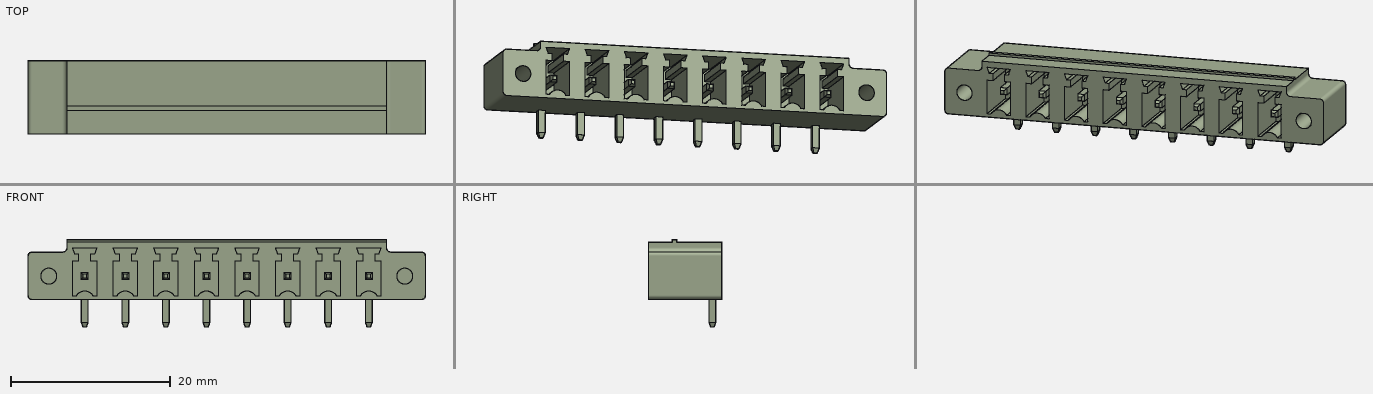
import cadquery as cq

POLE_COUNT = 8
PITCH = 5.08
POLE_XS = [(i - (POLE_COUNT - 1) / 2) * PITCH for i in range(POLE_COUNT)]

LENGTH = 49.76
DEPTH = 9.2
TOTAL_HEIGHT = 10.95
PIN_DROP = 3.45
FLANGE_HEIGHT = 5.95
CENTRE_LENGTH = 40.0
CORNER_RADIUS = 0.5
STEP_RADIUS = 0.54
FRONT_Y = -DEPTH / 2
BACK_Y = DEPTH / 2

RIB_HEIGHT = 0.3
RIB_WIDTH = 0.6
RIB_SETBACK = 2.95
CENTRE_HEIGHT = TOTAL_HEIGHT - PIN_DROP - RIB_HEIGHT

POCKET_DEPTH = 7.5
POCKET_WIDTH = 3.05
POCKET_FLOOR = 0.45
POCKET_SHOULDER = 4.8
NECK_WIDTH = 1.5
NECK_TOP = 5.7
HEAD_BOTTOM_WIDTH = 2.5
POCKET_TOP = 6.45
RIDGE_WIDTH = 2.1
RIDGE_HEIGHT = 0.62

PIN_SIZE = 0.88
PIN_TIP_SIZE = 0.45
PIN_TIP_LENGTH = 0.6
CONTACT_HEIGHT = 2.95
CONTACT_SETBACK = 1.5
TAIL_Y = BACK_Y - 1.2

INSERT_SPACING = 44.56
INSERT_HEIGHT = 2.93
INSERT_DIAMETER = 4.0
INSERT_BORE = 2.0
INSERT_DEPTH = 6.0


def front_plane(y):
    """Sketch plane facing the front, with X to the right and Z up."""
    return cq.Workplane("XZ", origin=(0, y, 0))


def make_housing():
    flanges = (
        cq.Workplane("XY")
        .box(LENGTH, DEPTH, FLANGE_HEIGHT, centered=(True, True, False))
        .edges("|Y")
        .fillet(CORNER_RADIUS)
    )
    centre = cq.Workplane("XY").box(CENTRE_LENGTH, DEPTH, CENTRE_HEIGHT, centered=(True, True, False))
    step_x = CENTRE_LENGTH / 2
    return (
        flanges.union(centre)
        .edges(cq.selectors.NearestToPointSelector((-step_x, 0, FLANGE_HEIGHT)))
        .fillet(STEP_RADIUS)
        .edges(cq.selectors.NearestToPointSelector((step_x, 0, FLANGE_HEIGHT)))
        .fillet(STEP_RADIUS)
    )


def make_rib():
    rib_y = FRONT_Y + RIB_SETBACK + RIB_WIDTH / 2
    return (
        cq.Workplane("XY", origin=(0, rib_y, CENTRE_HEIGHT))
        .box(CENTRE_LENGTH, RIB_WIDTH, RIB_HEIGHT, centered=(True, True, False))
    )


def make_pocket(x):
    """Keyhole cutter with a rounded ridge left standing along its floor."""
    half_width = POCKET_WIDTH / 2
    half_neck = NECK_WIDTH / 2
    half_head = HEAD_BOTTOM_WIDTH / 2
    half_ridge = RIDGE_WIDTH / 2
    return (
        front_plane(FRONT_Y)
        .center(x, 0)
        .moveTo(-half_width, POCKET_FLOOR)
        .lineTo(-half_ridge, POCKET_FLOOR)
        .threePointArc((0, POCKET_FLOOR + RIDGE_HEIGHT), (half_ridge, POCKET_FLOOR))
        .lineTo(half_width, POCKET_FLOOR)
        .lineTo(half_width, POCKET_SHOULDER)
        .lineTo(half_neck, POCKET_SHOULDER)
        .lineTo(half_neck, NECK_TOP)
        .lineTo(half_head, NECK_TOP)
        .lineTo(half_width, POCKET_TOP)
        .lineTo(-half_width, POCKET_TOP)
        .lineTo(-half_head, NECK_TOP)
        .lineTo(-half_neck, NECK_TOP)
        .lineTo(-half_neck, POCKET_SHOULDER)
        .lineTo(-half_width, POCKET_SHOULDER)
        .close()
        .extrude(-POCKET_DEPTH)
    )


def make_square_bar(start_plane, length):
    """Square bar along the plane normal, ending in a tapered tip."""
    shank_length = length - PIN_TIP_LENGTH
    shank = start_plane.rect(PIN_SIZE, PIN_SIZE).extrude(shank_length)
    tip = (
        shank.faces(cq.selectors.DirectionMinMaxSelector(start_plane.plane.zDir))
        .workplane(centerOption="CenterOfMass")
        .rect(PIN_SIZE, PIN_SIZE)
        .workplane(offset=PIN_TIP_LENGTH)
        .rect(PIN_TIP_SIZE, PIN_TIP_SIZE)
        .loft(combine=False)
    )
    return shank.union(tip)


def make_pin(x):
    """L-shaped pin: a contact pointing forward and a tail pointing down."""
    contact_start_y = TAIL_Y + PIN_SIZE / 2
    contact_tip_y = FRONT_Y + CONTACT_SETBACK
    contact_start = cq.Workplane("XZ", origin=(x, contact_start_y, CONTACT_HEIGHT))
    contact = make_square_bar(contact_start, contact_start_y - contact_tip_y)
    tail_start = cq.Workplane("XY", origin=(x, TAIL_Y, CONTACT_HEIGHT)).transformed(rotate=(180, 0, 0))
    tail = make_square_bar(tail_start, CONTACT_HEIGHT + PIN_DROP)
    return contact.union(tail)


def make_insert_cylinder(x, diameter):
    return (
        front_plane(FRONT_Y)
        .center(x, INSERT_HEIGHT)
        .circle(diameter / 2)
        .extrude(-INSERT_DEPTH)
    )


result = make_housing().union(make_rib())
for pole_x in POLE_XS:
    result = result.cut(make_pocket(pole_x)).union(make_pin(pole_x))

for insert_x in (-INSERT_SPACING / 2, INSERT_SPACING / 2):
    seat = make_insert_cylinder(insert_x, INSERT_DIAMETER)
    bore = make_insert_cylinder(insert_x, INSERT_BORE)
    result = result.cut(seat, clean=False).union(seat.cut(bore), clean=False)